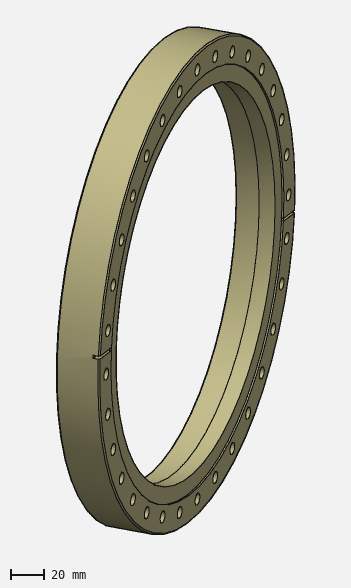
import cadquery as cq

outer_diameter = 306.0
thickness = 28.5
bore_diameter = 247.5
rim_chamfer = 1.0

recess_diameter = 254.5
recess_depth = 16.8
recess_chamfer = 0.5

bolt_count = 32
bolt_circle_diameter = 284.0
bolt_hole_diameter = 7.3

gasket_recess_diameter = 269.3
gasket_recess_depth = 1.2

groove_width = 1.8
groove_depth = 4.3

front_x = -thickness / 2
back_x = thickness / 2
bolt_circle_radius = bolt_circle_diameter / 2
bolt_pitch_angle = 360 / bolt_count
groove_angle = bolt_pitch_angle / 2
groove_angles = (180 - groove_angle, -groove_angle)
groove_length = (outer_diameter - gasket_recess_diameter) / 2


def make_ring():
    """Flat ring with chamfered rims and a recessed bore."""
    front_plane = cq.Workplane("YZ", origin=(front_x, 0, 0))
    disc = front_plane.circle(outer_diameter / 2).extrude(thickness)
    disc = disc.edges("%CIRCLE").chamfer(rim_chamfer)
    bore = front_plane.circle(bore_diameter / 2).extrude(thickness)
    recess = front_plane.circle(recess_diameter / 2).extrude(recess_depth)
    recess_mouth = (
        front_plane.circle(recess_diameter / 2 + recess_chamfer)
        .workplane(offset=recess_chamfer)
        .circle(recess_diameter / 2)
        .loft()
    )
    return disc.cut(bore).cut(recess).cut(recess_mouth)


def make_bolt_holes():
    """Evenly spaced through holes, the first one on the +Y axis."""
    return (
        cq.Workplane("YZ", origin=(front_x, 0, 0))
        .polarArray(bolt_circle_radius, 0, 360, bolt_count)
        .circle(bolt_hole_diameter / 2)
        .extrude(thickness)
    )


def make_gasket_recess():
    """Shallow round recess in the +X face."""
    floor_plane = cq.Workplane("YZ", origin=(back_x - gasket_recess_depth, 0, 0))
    return floor_plane.circle(gasket_recess_diameter / 2).extrude(gasket_recess_depth)


def make_groove(angle):
    """Radial groove midway between two bolt holes, at an angle from the +Y axis."""
    middle_radius = (outer_diameter / 2 + gasket_recess_diameter / 2) / 2
    groove = cq.Workplane("XY").box(groove_depth, groove_length, groove_width)
    groove = groove.translate((back_x - groove_depth / 2, middle_radius, 0))
    return groove.rotate((0, 0, 0), (1, 0, 0), angle)


result = make_ring().cut(make_bolt_holes()).cut(make_gasket_recess())
for angle in groove_angles:
    result = result.cut(make_groove(angle))